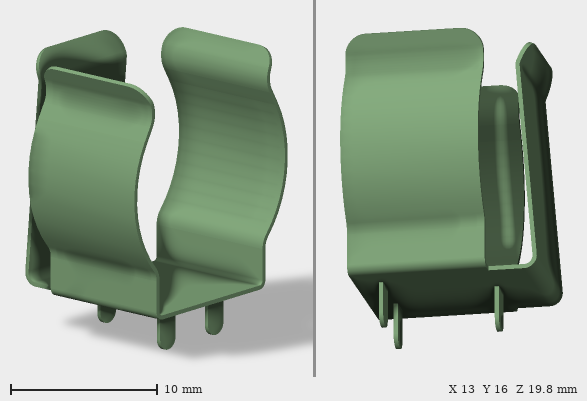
import cadquery as cq
import math

thickness = 0.3

clip_length = 9.62
wall_y = 5.66
floor_bend_radius = 0.6
barrel_radius = 8.0
barrel_z = 8.95
foot_bend_radius = 1.2
lead_angle = 30.0
lead_length = 1.15
neck_radius = 1.66
flare_angle = 29.0
arm_top = 16.81
arm_corner_radius = 1.5

tongue_width = 8.87
tongue_reach = 3.39
tongue_bend_radius = 0.9
tongue_lean = 5.0
tongue_kink_z = 14.73
kink_radius = 0.6
tip_lean = 22.5
tongue_top = 16.67
tongue_corner_radius = 1.75

pin_width = 1.6
total_height = 19.8
pin_length = total_height - arm_top
pin_pitch = 2.5
pin_row_spacing = 7.58


def polar(center, radius, degrees):
    angle = math.radians(degrees)
    return (center[0] + radius * math.cos(angle), center[1] + radius * math.sin(angle))


def corner_cutter(plane, half_width, radius):
    """Waste outside the two rounded corners of a free edge lying on the plane's x axis."""
    reach = 2 * thickness
    waste = None
    for side in (-1, 1):
        corner = (
            cq.Workplane(plane)
            .moveTo(side * (half_width - radius), 0)
            .radiusArc((side * half_width, -radius), side * radius)
            .lineTo(side * (half_width + thickness), -radius)
            .lineTo(side * (half_width + thickness), thickness)
            .lineTo(side * (half_width - radius), thickness)
            .close()
            .extrude(reach, both=True)
        )
        waste = corner if waste is None else waste.union(corner)
    return waste


def make_arm():
    """Floor half and arm on the +Y side, traced up the outer face and back down the inner face."""
    barrel = (0, barrel_z)
    floor_bend = (wall_y - floor_bend_radius, floor_bend_radius)
    foot_y = wall_y + foot_bend_radius
    foot = (foot_y, barrel_z - math.sqrt((barrel_radius + foot_bend_radius) ** 2 - foot_y**2))
    foot_angle = math.degrees(math.atan2(foot[1] - barrel_z, foot_y))
    lead_start = polar(barrel, barrel_radius, lead_angle)
    lead_end = polar(lead_start, lead_length, 90 + lead_angle)
    neck = polar(lead_end, neck_radius, lead_angle)
    flare_start = polar(neck, neck_radius, 180 - flare_angle)
    tip_z = arm_top - thickness * math.sin(math.radians(flare_angle))
    flare_length = (tip_z - flare_start[1]) / math.cos(math.radians(flare_angle))
    tip = polar(flare_start, flare_length, 90 - flare_angle)

    def trace(path, inset, reverse):
        """Add one face of the arm, offset from the outer face by the inset."""
        neck_mid_angle = 180 + (lead_angle - flare_angle) / 2
        floor_r = floor_bend_radius - inset
        foot_r = foot_bend_radius + inset
        barrel_r = barrel_radius - inset
        neck_r = neck_radius + inset
        nodes = [
            ((0, inset), None),
            (polar(floor_bend, floor_r, -90), None),
            (polar(floor_bend, floor_r, 0), polar(floor_bend, floor_r, -45)),
            (polar(foot, foot_r, 180), None),
            (polar(foot, foot_r, 180 + foot_angle), polar(foot, foot_r, 180 + foot_angle / 2)),
            (polar(barrel, barrel_r, lead_angle), polar(barrel, barrel_r, 0)),
            (polar(lead_end, inset, 180 + lead_angle), None),
            (polar(neck, neck_r, 180 - flare_angle), polar(neck, neck_r, neck_mid_angle)),
            (polar(tip, inset, 180 - flare_angle), None),
        ]
        if reverse:
            ends = [end for end, middle in nodes][::-1]
            middles = [None] + [middle for end, middle in nodes][:0:-1]
            nodes = list(zip(ends, middles))
        else:
            nodes = nodes[1:]
        for end, middle in nodes:
            path = path.lineTo(*end) if middle is None else path.threePointArc(middle, end)
        return path

    profile = cq.Workplane("YZ").moveTo(0, 0)
    profile = trace(profile, 0, False)
    profile = trace(profile, thickness, True)
    arm = profile.close().extrude(clip_length)

    flare = math.radians(flare_angle)
    inner_tip = polar(tip, thickness, 180 - flare_angle)
    tip_plane = cq.Plane(
        origin=(clip_length / 2, *inner_tip),
        xDir=(1, 0, 0),
        normal=(0, -math.cos(flare), math.sin(flare)),
    )
    return arm.cut(corner_cutter(tip_plane, clip_length / 2, arm_corner_radius))


def make_tongue():
    """Floor extension, bent up into a leaning blade with a kinked tip."""
    outer_r = tongue_bend_radius
    inner_r = outer_r - thickness
    bend = (outer_r - tongue_reach, outer_r)
    bend_end = 180 - tongue_lean
    bend_middle = (270 + bend_end) / 2
    blade_start = polar(bend, outer_r, bend_end)
    blade_height = tongue_kink_z - blade_start[1]
    kink = (blade_start[0] + blade_height * math.tan(math.radians(tongue_lean)), tongue_kink_z)
    half_turn = math.radians((tongue_lean + tip_lean) / 2)
    mitre_angle = (tip_lean - tongue_lean) / 2
    inner_kink = polar(kink, thickness / math.cos(half_turn), mitre_angle)
    kink_center = polar(kink, kink_radius / math.cos(half_turn), 180 + mitre_angle)
    inner_kink_r = kink_radius + thickness
    lean = math.radians(tip_lean)
    inner_rise = tongue_top - inner_kink[1]
    inner_tip = (inner_kink[0] - inner_rise * math.tan(lean), tongue_top)
    outer_tip = polar(inner_tip, thickness, 180 + tip_lean)

    tongue = (
        cq.Workplane("XZ")
        .moveTo(thickness, 0)
        .lineTo(bend[0], 0)
        .threePointArc(polar(bend, outer_r, bend_middle), blade_start)
        .lineTo(*polar(kink_center, kink_radius, -tongue_lean))
        .threePointArc(
            polar(kink_center, kink_radius, mitre_angle), polar(kink_center, kink_radius, tip_lean)
        )
        .lineTo(*outer_tip)
        .lineTo(*inner_tip)
        .lineTo(*polar(kink_center, inner_kink_r, tip_lean))
        .threePointArc(
            polar(kink_center, inner_kink_r, mitre_angle), polar(kink_center, inner_kink_r, -tongue_lean)
        )
        .lineTo(*polar(bend, inner_r, bend_end))
        .threePointArc(polar(bend, inner_r, bend_middle), polar(bend, inner_r, 270))
        .lineTo(thickness, thickness)
        .close()
        .extrude(tongue_width / 2, both=True)
    )
    tip_plane = cq.Plane(
        origin=(inner_tip[0], 0, inner_tip[1]),
        xDir=(0, 1, 0),
        normal=(math.cos(lean), 0, math.sin(lean)),
    )
    return tongue.cut(corner_cutter(tip_plane, tongue_width / 2, tongue_corner_radius))


def make_pin(x, y):
    """Flat pin with a round end, hanging from the floor."""
    half = pin_width / 2
    return (
        cq.Workplane("YZ", origin=(x, y, 0))
        .moveTo(-half, thickness)
        .lineTo(-half, half - pin_length)
        .threePointArc((0, -pin_length), (half, half - pin_length))
        .lineTo(half, thickness)
        .close()
        .extrude(thickness)
    )


arm = make_arm()
result = arm.union(arm.mirror("XZ")).union(make_tongue())
for pin_x, pin_y in ((0, 0), (pin_row_spacing, -pin_pitch), (pin_row_spacing, pin_pitch)):
    result = result.union(make_pin(pin_x, pin_y))